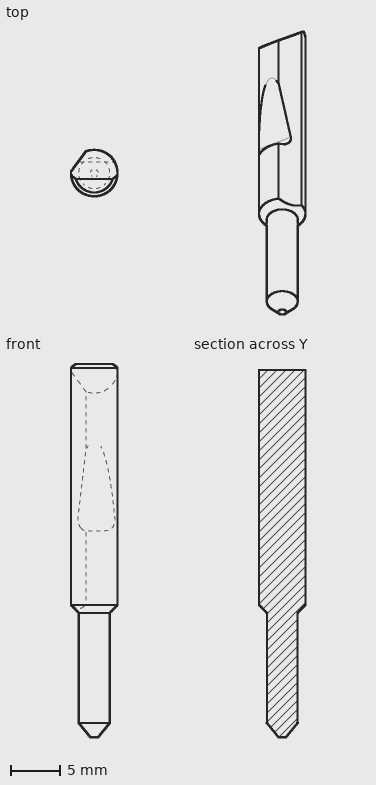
import cadquery as cq
import math

total_length = 38.1
shank_radius = 4.76 / 2
shank_top_chamfer = 0.4

pin_radius = 3.175 / 2
pin_length = 12.7
tip_radius = 0.4
tip_height = 1.45

flat_distance = 2.01
flat_normal_angle = 143.5

slope_start_y = -0.6

ramp_top_z = 30.3
ramp_angle = 9.0
notch_bottom_z = 21.05
notch_corner_radius = 1.2

clearance = 2 * shank_radius


def make_turned_body():
    """Revolve the shank, pin and conical tip about Z."""
    shoulder_height = shank_radius - pin_radius
    profile = (
        cq.Workplane("XZ")
        .moveTo(0, 0)
        .lineTo(tip_radius, 0)
        .lineTo(pin_radius, tip_height)
        .lineTo(pin_radius, pin_length)
        .lineTo(shank_radius, pin_length + shoulder_height)
        .lineTo(shank_radius, total_length - shank_top_chamfer)
        .lineTo(shank_radius - shank_top_chamfer, total_length)
        .lineTo(0, total_length)
        .close()
    )
    return profile.revolve(360, (0, 0, 0), (0, 1, 0))


def make_flat_cutter():
    """Box lying outside the side flat, turned to face its normal."""
    cutter = cq.Workplane("XY").box(
        clearance, 2 * clearance, total_length, centered=(False, True, False)
    )
    cutter = cutter.translate((flat_distance, 0, 0))
    return cutter.rotate((0, 0, 0), (0, 0, 1), flat_normal_angle)


def make_top_slope_cutter():
    """Triangular prism above the 45 degree top face."""
    run = shank_radius + clearance - slope_start_y
    return (
        cq.Workplane("YZ")
        .moveTo(slope_start_y, total_length)
        .lineTo(slope_start_y + run, total_length - run)
        .lineTo(slope_start_y + run, total_length)
        .close()
        .extrude(clearance, both=True)
    )


def make_notch_cutter():
    """Wedge below the ramp, with its inner corner rounded."""
    ramp_slope = math.tan(math.radians(ramp_angle))
    outer_y = shank_radius + clearance
    corner_y = shank_radius - (ramp_top_z - notch_bottom_z) * ramp_slope
    return (
        cq.Workplane("YZ")
        .moveTo(corner_y, notch_bottom_z)
        .lineTo(outer_y, notch_bottom_z)
        .lineTo(outer_y, ramp_top_z)
        .lineTo(shank_radius, ramp_top_z)
        .close()
        .extrude(clearance, both=True)
        .edges(cq.selectors.NearestToPointSelector((0, corner_y, notch_bottom_z)))
        .fillet(notch_corner_radius)
    )


result = (
    make_turned_body()
    .cut(make_flat_cutter())
    .cut(make_top_slope_cutter())
    .cut(make_notch_cutter())
)